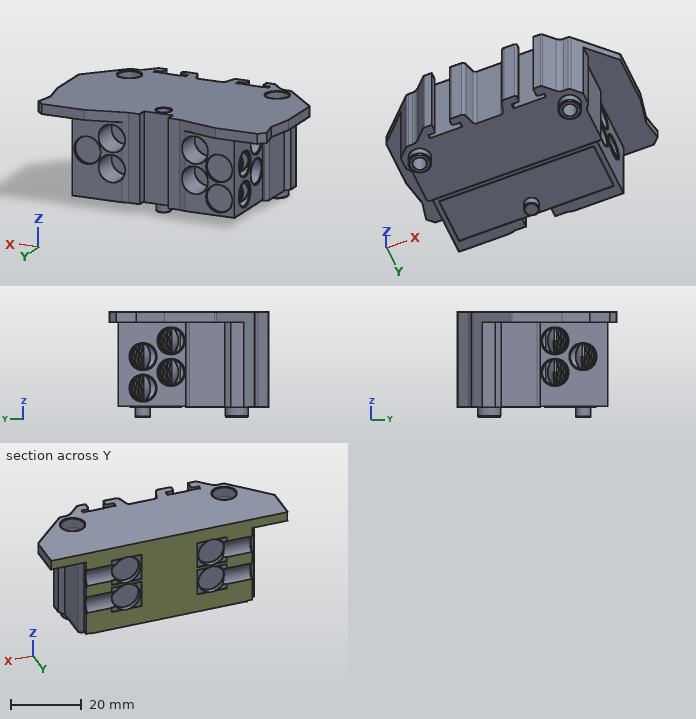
import cadquery as cq
import math


width = 72.0
depth = 45.0
height = 26.9
plate_thickness = 3.0
plate_bottom = height - plate_thickness

side_back = 29.5
waist_x = 34.4
waist_y = 37.4
ear_x = 35.6
ear_y = 43.05
ear_flat_x = 33.55
wing_x = 20.45
notch_lip_x = 7.9
notch_lip_y = 42.1
notch_half_width = 4.5
notch_floor = 39.1
side_front = 15.05
side_corner_radius = 0.9
bevel_x = 25.0
shelf_y = 3.95
bevel_corner_radius = 1.15
shelf_blend_radius = 2.9

foot_outer_x = 18.1
foot_slope_run = shelf_y
foot_inner_x = 15.55
foot_hook_y = 2.8
foot_undercut_x = 17.8
foot_corner_radius = 0.65
lug_outer_x = 10.4
lug_slot_x = 7.9
lug_hook_y = 2.45
lug_tip_y = 0.2
lug_inner_x = 5.75
channel_floor = 4.5
channel_floor_x = 4.4
lug_corner_radius = 0.65
channel_corner_radius = 1.1

front_half_width = 28.0
front_end = 10.65
middle_half_width = 26.8
middle_start = 12.45
middle_end = 23.5
middle_corner_radius = 1.1
block_half_width = 25.3
block_back = 42.55
block_bottom = 0.2
pad_half_width = 23.75
pad_front = 24.6

post_x = 23.05
post_y = 9.0
post_length = 2.9
post_diameter = 6.55
post_chamfer = 0.35
socket_diameter = 6.85
socket_rim_chamfer = 0.2
socket_depth = 3.0
bolt_diameter = 4.1
pin_y = 35.6
pin_diameter = 4.3
pin_chamfer = 0.2
pin_socket_diameter = pin_diameter
pin_socket_floor_diameter = 3.45
pin_socket_chamfer = 0.2

terminal_pitch = 4.5
lowest_terminal_z = 5.3
outer_bore_y = 35.5
inner_bore_y = 27.6
outer_screw_x = 20.5
inner_screw_x = 12.95
wire_bore_diameter = 7.2
wire_bore_chamfer = 0.3
screw_radius = 4.1
thread_root_radius = 3.7
thread_pitch = 1.3
thread_overcut = 0.1
thread_turns = 5
thread_crest = 0.3
screw_shoulder_offset = 0.2
dome_height = 1.9
screw_bore_overrun = 3.95
relief_front_offset = 2.6
relief_depth = 0.35
relief_half_height = 3.95
left_terminal_count = 4
right_terminal_count = 3


def mirrored_outline(half):
    """Close a half outline, running from back to front at negative X, with its mirror image."""
    other_half = [(-x, y) for x, y in reversed(half)]
    return cq.Workplane("XY").polyline(half + other_half).close()


def box(x_half, y_min, y_max, z_min, z_max):
    return (
        cq.Workplane("XY", origin=(0, (y_min + y_max) / 2, z_min))
        .rect(2 * x_half, y_max - y_min)
        .extrude(z_max - z_min)
    )


def fillet_corners(solid, corners, radius):
    """Round the upright edges at the given corners and at their mirror images."""
    reach = 0.1
    for x, y in corners:
        for side in (-1, 1):
            selector = cq.selectors.BoxSelector(
                (side * x - reach, y - reach, -reach),
                (side * x + reach, y + reach, height + reach),
            )
            solid = solid.edges("|Z").edges(selector).fillet(radius)
    return solid


def full_height_outline():
    shelf_end_x = foot_outer_x + foot_slope_run
    half = [
        (-notch_half_width, notch_floor),
        (-notch_half_width, notch_lip_y),
        (-notch_lip_x, notch_lip_y),
        (-wing_x, depth),
        (-ear_flat_x, depth),
        (-ear_x, ear_y),
        (-waist_x, waist_y),
        (-width / 2, side_back),
        (-width / 2, side_front),
        (-bevel_x, shelf_y),
        (-shelf_end_x, shelf_y),
        (-foot_outer_x, 0),
        (-foot_inner_x, 0),
        (-foot_inner_x, foot_hook_y),
        (-foot_undercut_x, foot_hook_y),
        (-foot_undercut_x, shelf_y),
        (-lug_slot_x, shelf_y),
        (-lug_slot_x, lug_hook_y),
        (-lug_outer_x, lug_hook_y),
        (-lug_outer_x, lug_tip_y),
        (-lug_inner_x, lug_tip_y),
        (-channel_floor_x, channel_floor),
    ]
    prism = mirrored_outline(half).extrude(height)
    prism = fillet_corners(prism, [(width / 2, side_front)], side_corner_radius)
    prism = fillet_corners(prism, [(bevel_x, shelf_y)], bevel_corner_radius)
    prism = fillet_corners(prism, [(shelf_end_x, shelf_y)], shelf_blend_radius)
    foot_corners = [(foot_outer_x, 0), (foot_inner_x, foot_hook_y)]
    prism = fillet_corners(prism, foot_corners, foot_corner_radius)
    lug_corners = [(lug_outer_x, lug_hook_y), (lug_outer_x, lug_tip_y)]
    prism = fillet_corners(prism, lug_corners, lug_corner_radius)
    channel_corners = [(lug_inner_x, lug_tip_y), (channel_floor_x, channel_floor)]
    return fillet_corners(prism, channel_corners, channel_corner_radius)


def body_envelope():
    """Space that the housing fills: the whole plate, and the narrower stepped body below it."""
    stepped = mirrored_outline(
        [
            (-middle_half_width, middle_end),
            (-middle_half_width, middle_start),
            (-front_half_width, front_end),
            (-front_half_width, 0),
        ]
    ).extrude(height)
    stepped = fillet_corners(stepped, [(middle_half_width, middle_end)], middle_corner_radius)
    block = box(block_half_width, middle_start, block_back, block_bottom, height)
    pad = box(pad_half_width, pad_front, notch_floor, 0, height)
    plate = box(width, 0, depth, plate_bottom, height)
    return stepped.union(block).union(pad).union(plate)


def post(x, y, diameter, chamfer):
    """Stud below the housing, with its tip chamfered."""
    return (
        cq.Workplane("XY", origin=(x, y, -post_length))
        .circle(diameter / 2)
        .extrude(post_length + block_bottom)
        .faces("<Z")
        .chamfer(chamfer)
    )


def turned_cut(x, y, profile):
    """Cut turned about a vertical axis, from (radius, Z) points that start and end on the axis."""
    cut = cq.Workplane("XZ").polyline(profile).close().revolve(360, (0, 0, 0), (0, 1, 0))
    return cut.translate((x, y, 0))


def bolt_hole(x, y):
    socket_radius = socket_diameter / 2
    cone_top = height - socket_depth
    return turned_cut(
        x,
        y,
        [
            (0, height),
            (socket_radius + socket_rim_chamfer, height),
            (socket_radius, height - socket_rim_chamfer),
            (socket_radius, cone_top),
            (bolt_diameter / 2, -post_length),
            (0, -post_length),
        ],
    )


def pin_socket():
    socket_radius = pin_socket_diameter / 2
    return turned_cut(
        0,
        pin_y,
        [
            (0, height),
            (socket_radius + pin_socket_chamfer, height),
            (socket_radius, height - pin_socket_chamfer),
            (pin_socket_floor_diameter / 2, height - socket_depth),
            (0, height - socket_depth),
        ],
    )


def is_inner(index):
    """Terminals alternate between the outer and the inner row, from the lowest one up."""
    return index % 2 == 1


def terminal_place(index):
    """Distance of the screw from the symmetry plane, and Y and Z of the wire bore."""
    z = lowest_terminal_z + index * terminal_pitch
    if is_inner(index):
        return inner_screw_x, inner_bore_y, z
    return outer_screw_x, outer_bore_y, z


def terminal_cut(index, side):
    """Wire bore and screw bore of one terminal, on the -X side (-1) or mirrored to the +X side (1)."""
    screw_x, y, z = terminal_place(index)
    wire_bore = (
        cq.Workplane("YZ", origin=(-block_half_width, y, z))
        .circle(wire_bore_diameter / 2)
        .extrude(block_half_width - screw_x)
    )
    rim = cq.Workplane(
        cq.Solid.makeCone(
            wire_bore_diameter / 2 + wire_bore_chamfer,
            wire_bore_diameter / 2,
            wire_bore_chamfer,
            cq.Vector(-block_half_width, y, z),
            cq.Vector(1, 0, 0),
        )
    )
    bore_front = y - screw_bore_overrun
    screw_bore = (
        cq.Workplane("XZ", origin=(-screw_x, bore_front, z))
        .circle(screw_radius)
        .extrude(bore_front - depth)
    )
    cut = wire_bore.union(rim).union(screw_bore)
    if is_inner(index):
        relief_front = y - relief_front_offset
        relief = box(
            screw_radius + relief_depth, relief_front, y, z - relief_half_height, z + relief_half_height
        ).translate((-screw_x, 0, 0))
        cut = cut.union(relief)
    if side > 0:
        cut = cut.mirror("YZ")
    return cut


def threaded_screw():
    """Clamping screw along Z with a domed tip towards -Z; its thread starts at the shoulder, Z = 0."""
    screw_length = thread_turns * thread_pitch
    dome_radius = (screw_radius**2 + dome_height**2) / (2 * dome_height)
    middle_radius = screw_radius / 2
    middle_z = dome_radius - math.sqrt(dome_radius**2 - middle_radius**2) - dome_height
    blank = (
        cq.Workplane("XZ")
        .moveTo(0, -dome_height)
        .threePointArc((middle_radius, middle_z), (screw_radius, 0))
        .lineTo(screw_radius, screw_length)
        .lineTo(0, screw_length)
        .close()
        .revolve(360, (0, 0, 0), (0, 1, 0))
    )
    groove_depth = screw_radius - thread_root_radius
    half_width = (thread_pitch - thread_crest) / 2 * (1 + thread_overcut / groove_depth)
    path = cq.Wire.makeHelix(thread_pitch, screw_length - thread_pitch, screw_radius)
    groove = (
        cq.Workplane("XZ")
        .polyline(
            [
                (thread_root_radius, 0),
                (screw_radius + thread_overcut, half_width),
                (screw_radius + thread_overcut, -half_width),
            ]
        )
        .close()
        .sweep(cq.Workplane(path), isFrenet=True)
    )
    return blank.cut(groove)


def place_screw(screw, index, side):
    """Lay the screw along Y, with its tip towards -Y, in its terminal."""
    screw_x, y, z = terminal_place(index)
    lying = screw.rotate((0, 0, 0), (1, 0, 0), -90)
    return lying.translate((side * screw_x, y - screw_shoulder_offset, z))


left_terminals = [(index, -1) for index in range(left_terminal_count)]
top_index = left_terminal_count - 1
right_terminals = [(top_index - step, 1) for step in range(right_terminal_count)]
terminals = left_terminals + right_terminals

housing = full_height_outline().intersect(body_envelope())
housing = housing.union(post(0, pin_y, pin_diameter, pin_chamfer)).cut(pin_socket())
for side in (-1, 1):
    housing = housing.union(post(side * post_x, post_y, post_diameter, post_chamfer))
    housing = housing.cut(bolt_hole(side * post_x, post_y))
for index, side in terminals:
    housing = housing.cut(terminal_cut(index, side))

clamping_screw = threaded_screw()
screws = [place_screw(clamping_screw, index, side).val() for index, side in terminals]

result = cq.Compound.makeCompound([housing.val(), *screws])